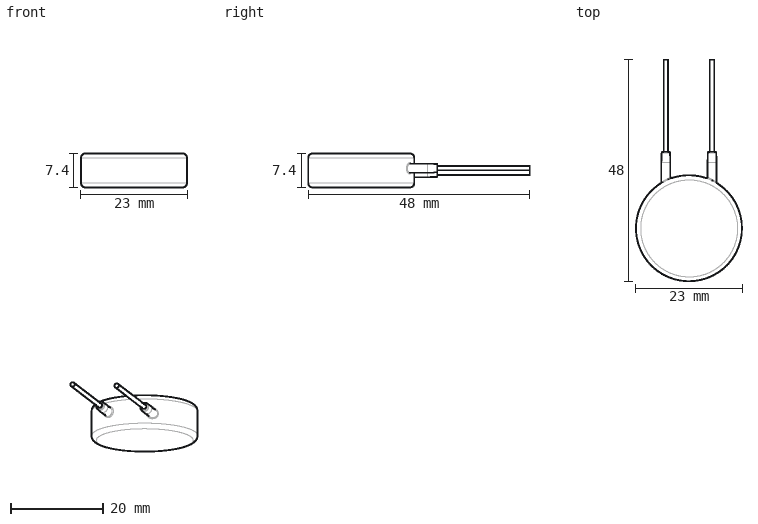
import cadquery as cq

body_diameter = 23.0
body_height = 7.4
edge_radius = 1.0

lead_spacing = 10.0
lead_height_step = 1.0
wire_diameter = 1.0
wire_end_y = 36.5

sleeve_diameter = 2.0
sleeve_tip_diameter = 1.86
sleeve_end_y = 16.5
sleeve_taper_length = 2.2
sleeve_tip_fillet = 0.2
sleeve_root_fillet = 0.2

lead_root_y = body_diameter / 4


def make_body():
    """Disc with rounded top and bottom rims."""
    disc = cq.Workplane("XY").circle(body_diameter / 2).extrude(body_height)
    return disc.edges("%CIRCLE").fillet(edge_radius)


def make_sleeve(x, z):
    """Tapered sleeve with a rounded tip, turned about the axis along Y through (x, z)."""
    sleeve_radius = sleeve_diameter / 2
    tip_radius = sleeve_tip_diameter / 2
    profile = (
        cq.Workplane("XY")
        .moveTo(0, lead_root_y)
        .lineTo(sleeve_radius, lead_root_y)
        .lineTo(sleeve_radius, sleeve_end_y - sleeve_taper_length)
        .lineTo(tip_radius, sleeve_end_y)
        .lineTo(0, sleeve_end_y)
        .close()
    )
    sleeve = profile.revolve(360, (0, 0), (0, 1))
    sleeve = sleeve.faces(">Y").edges().fillet(sleeve_tip_fillet)
    return sleeve.translate((x, 0, z))


def make_wire(x, z):
    """Round wire along Y through (x, z), running through the sleeve to its free end."""
    start = cq.Vector(x, lead_root_y, z)
    length = wire_end_y - lead_root_y
    return cq.Solid.makeCylinder(wire_diameter / 2, length, start, cq.Vector(0, 1, 0))


def fillet_sleeve_root(part, x, z):
    """Round the corner where the sleeve at (x, z) leaves the side of the body."""
    root_box = cq.selectors.BoxSelector(
        (x - sleeve_diameter, lead_root_y, z - sleeve_diameter),
        (x + sleeve_diameter, body_diameter / 2, z + sleeve_diameter),
    )
    return part.edges(root_box).fillet(sleeve_root_fillet)


result = make_body()
for side in (-1, 1):
    lead_x = side * lead_spacing / 2
    lead_z = body_height / 2 + side * lead_height_step / 2
    result = result.union(make_sleeve(lead_x, lead_z))
    result = fillet_sleeve_root(result, lead_x, lead_z)
    result = result.union(make_wire(lead_x, lead_z))